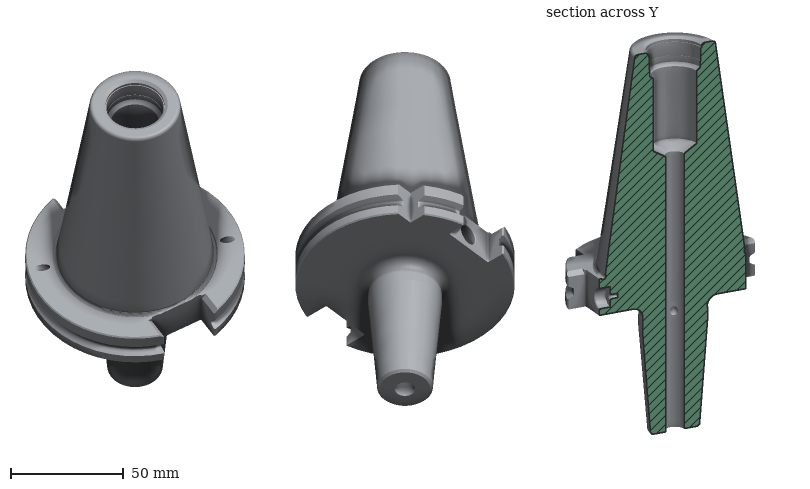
import cadquery as cq
import math

total_height = 181.6
gauge_height = 79.9
flange_top = 78.5
flange_bottom = 61.0
groove_height = 69.0

gauge_radius = 34.9
taper_ratio = 7 / 24
shank_rim_round = 1.8
shank_top_radius = gauge_radius - (total_height - gauge_height) * taper_ratio / 2

flange_radius = 48.7
flange_chamfer = 0.5
groove_floor_radius = 45.5
groove_floor_width = 3.3
groove_rim_width = 6.4
groove_floor_fillet = 0.7
relief_root_radius = 34.5
relief_outer_radius = 36.7
relief_depth = 0.5
relief_fillet = 1.0

neck_radius = 16.3
neck_top = 55.2
neck_bottom = 50.1
neck_root_radius = 16.2
neck_fillet = 4.7
nose_radius = 12.3
nose_chamfer = 1.0

slot_width = 25.8
slot_floor_x = {-1: 37.8, 1: 35.2}
slot_corner_radius = 0.7
slot_top_chamfer = 2.0
slot_mouth_chamfer = 0.7
slot_overrun = 1.8
notch_corner = 30.0

lip_radius = 14.5
lip_depth = 0.9
bore_steps = [(13.0, 2.2), (12.7, 8.5), (12.5, 11.5)]
thread_radius = 10.7
thread_start = 12.9
thread_depth = 47.2
drill_point_angle = 118
coolant_bore_radius = 4.5

pocket_radius = 4.7
pocket_mouth_chamfer = 0.4
pocket_depth = 5.5
pilot_mouth_radius = 1.6
pilot_radius = 0.9
pilot_depth = 3.6

duct_radius = 1.8
duct_reach = 41.8
duct_tilt = 58
duct_directions = [70, 250]


def make_body():
    """Revolved blank: nose, neck, grooved flange and taper shank."""
    half_floor = groove_floor_width / 2
    half_rim = groove_rim_width / 2
    relief_floor = flange_top - relief_depth
    arc_inset = 1 - math.sin(math.radians(45))
    neck_arc_middle = (
        neck_root_radius + neck_fillet * arc_inset,
        flange_bottom - neck_fillet * arc_inset,
    )
    relief_arc_middle = (
        relief_root_radius + relief_fillet * arc_inset,
        relief_floor + relief_fillet * arc_inset,
    )
    profile = (
        cq.Workplane("XZ")
        .moveTo(0, 0)
        .lineTo(nose_radius - nose_chamfer, 0)
        .lineTo(nose_radius, nose_chamfer)
        .lineTo(neck_radius, neck_bottom)
        .lineTo(neck_radius, neck_top)
        .lineTo(neck_root_radius, flange_bottom - neck_fillet)
        .threePointArc(neck_arc_middle, (neck_root_radius + neck_fillet, flange_bottom))
        .lineTo(flange_radius - flange_chamfer, flange_bottom)
        .lineTo(flange_radius, flange_bottom + flange_chamfer)
        .lineTo(flange_radius, groove_height - half_rim)
        .lineTo(groove_floor_radius, groove_height - half_floor)
        .lineTo(groove_floor_radius, groove_height + half_floor)
        .lineTo(flange_radius, groove_height + half_rim)
        .lineTo(flange_radius, flange_top - flange_chamfer)
        .lineTo(flange_radius - flange_chamfer, flange_top)
        .lineTo(relief_outer_radius, flange_top)
        .lineTo(relief_outer_radius - relief_depth, relief_floor)
        .lineTo(relief_root_radius + relief_fillet, relief_floor)
        .threePointArc(relief_arc_middle, (relief_root_radius, relief_floor + relief_fillet))
        .lineTo(relief_root_radius, gauge_height - (gauge_radius - relief_root_radius))
        .lineTo(gauge_radius, gauge_height)
        .lineTo(shank_top_radius, total_height)
        .lineTo(0, total_height)
        .close()
    )
    body = profile.revolve(360, (0, 0, 0), (0, 1, 0))
    body = body.faces(">Z").edges().fillet(shank_rim_round)
    groove_corners = body.edges("%CIRCLE").filter(
        lambda edge: math.isclose(edge.radius(), groove_floor_radius, rel_tol=1e-6)
    )
    return groove_corners.fillet(groove_floor_fillet)


def make_slot(side):
    """Drive slot cutter on one side (-1 or 1): rounded floor corners, chamfered top and mouth edges."""
    floor_x = slot_floor_x[side]
    half_width = slot_width / 2
    height = flange_top - flange_bottom
    length = flange_radius + slot_overrun - floor_x
    centre_x = floor_x + length / 2
    channel = (
        cq.Workplane("XY")
        .workplane(offset=flange_bottom)
        .center(centre_x, 0)
        .rect(length, slot_width)
        .extrude(height)
        .edges("|Z and <X")
        .fillet(slot_corner_radius)
    )
    top_bevel = (
        cq.Workplane("YZ")
        .workplane(offset=floor_x + slot_corner_radius)
        .moveTo(-half_width, flange_top - slot_top_chamfer)
        .lineTo(half_width, flange_top - slot_top_chamfer)
        .lineTo(half_width + slot_top_chamfer, flange_top)
        .lineTo(-half_width - slot_top_chamfer, flange_top)
        .close()
        .extrude(length)
    )
    mouth_x = math.sqrt(flange_radius**2 - half_width**2)
    mouth_bevel = (
        cq.Workplane("XY")
        .workplane(offset=flange_bottom)
        .moveTo(mouth_x - slot_mouth_chamfer, half_width)
        .lineTo(mouth_x + slot_mouth_chamfer, half_width + 2 * slot_mouth_chamfer)
        .lineTo(mouth_x + slot_mouth_chamfer, -half_width - 2 * slot_mouth_chamfer)
        .lineTo(mouth_x - slot_mouth_chamfer, -half_width)
        .close()
        .extrude(height)
    )
    slot = channel.union(top_bevel).union(mouth_bevel)
    return slot if side > 0 else slot.mirror("YZ")


def make_notch():
    """Square orientation notch at the -X +Y edge of the flange, through its full height."""
    size = flange_radius - notch_corner
    return (
        cq.Workplane("XY")
        .workplane(offset=flange_bottom)
        .center(-notch_corner - size / 2, notch_corner + size / 2)
        .rect(size, size)
        .extrude(flange_top - flange_bottom)
    )


def make_bore():
    """Stepped pull stud bore with a drill point, opening into the axial coolant bore."""
    point_height = (thread_radius - coolant_bore_radius) / math.tan(math.radians(drill_point_angle / 2))
    bore = cq.Workplane("XZ").moveTo(0, total_height).lineTo(lip_radius, total_height)
    upper_depth = lip_depth
    for radius, lower_depth in bore_steps:
        bore = bore.lineTo(radius, total_height - upper_depth)
        bore = bore.lineTo(radius, total_height - lower_depth)
        upper_depth = lower_depth
    return (
        bore.lineTo(thread_radius, total_height - thread_start)
        .lineTo(thread_radius, total_height - thread_depth)
        .lineTo(coolant_bore_radius, total_height - thread_depth - point_height)
        .lineTo(coolant_bore_radius, 0)
        .lineTo(0, 0)
        .close()
        .revolve(360, (0, 0, 0), (0, 1, 0))
    )


def make_pocket():
    """Round pocket in the -X slot floor: chamfered mouth and a small countersunk pilot hole."""
    inward = cq.Vector(1, 0, 0)
    mouth = cq.Vector(-slot_floor_x[-1], 0, groove_height)
    bottom = mouth + inward * pocket_depth
    mouth_radius = pocket_radius + pocket_mouth_chamfer
    countersink_depth = pilot_mouth_radius - pilot_radius
    cutters = [
        cq.Solid.makeCone(mouth_radius, pocket_radius, pocket_mouth_chamfer, mouth, inward),
        cq.Solid.makeCylinder(pocket_radius, pocket_depth, mouth, inward),
        cq.Solid.makeCone(pilot_mouth_radius, pilot_radius, countersink_depth, bottom, inward),
        cq.Solid.makeCylinder(pilot_radius, pilot_depth, bottom, inward),
    ]
    pocket = cq.Workplane(cutters[0])
    for cutter in cutters[1:]:
        pocket = pocket.union(cq.Workplane(cutter))
    return pocket


def make_duct(direction):
    """Coolant duct running down and inward from the flange top to the tool axis."""
    tilt = math.radians(duct_tilt)
    angle = math.radians(direction)
    outward = cq.Vector(math.cos(angle), math.sin(angle), 0)
    downward = cq.Vector(0, 0, -1)
    axis = downward * math.cos(tilt) - outward * math.sin(tilt)
    mouth = outward * duct_reach + cq.Vector(0, 0, flange_top)
    overrun = 2 * duct_radius / math.cos(tilt)
    length = duct_reach / math.sin(tilt) + overrun
    return cq.Workplane(cq.Solid.makeCylinder(duct_radius, length, mouth - axis * overrun, axis))


result = make_body()
for slot_side in slot_floor_x:
    result = result.cut(make_slot(slot_side))
result = result.cut(make_notch())
result = result.cut(make_bore())
result = result.cut(make_pocket())
for duct_direction in duct_directions:
    result = result.cut(make_duct(duct_direction))